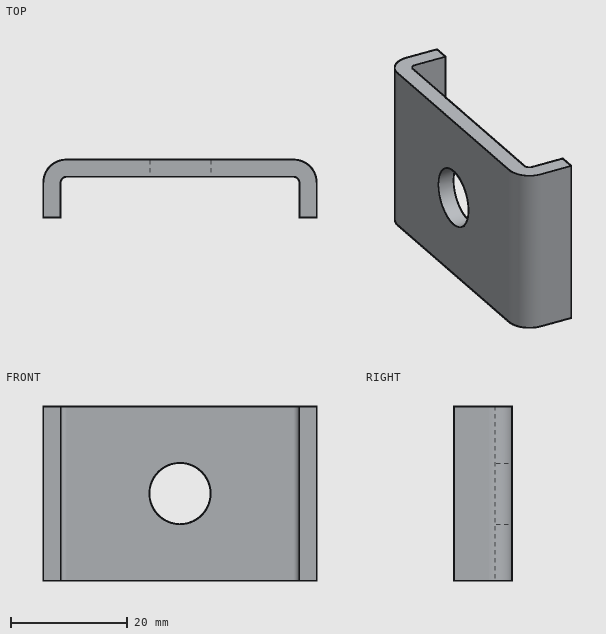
import cadquery as cq

width = 47.0
depth = 10.0
height = 30.0
thickness = 3.0
inner_bend_radius = 1.0
outer_bend_radius = inner_bend_radius + thickness
hole_diameter = 10.5


def channel():
    """Plate with two flanges bent toward -Y, centred on the origin."""
    outer = (
        cq.Workplane("XY")
        .box(width, depth, height)
        .edges("|Z and >Y")
        .fillet(outer_bend_radius)
    )
    inner = (
        cq.Workplane("XY")
        .box(width - 2 * thickness, depth, height)
        .edges("|Z and >Y")
        .fillet(inner_bend_radius)
        .translate((0, -thickness, 0))
    )
    return outer.cut(inner)


def web_hole():
    """Cylinder along Y that passes through the middle of the web."""
    return cq.Workplane("XZ").circle(hole_diameter / 2).extrude(depth, both=True)


result = channel().cut(web_hole())